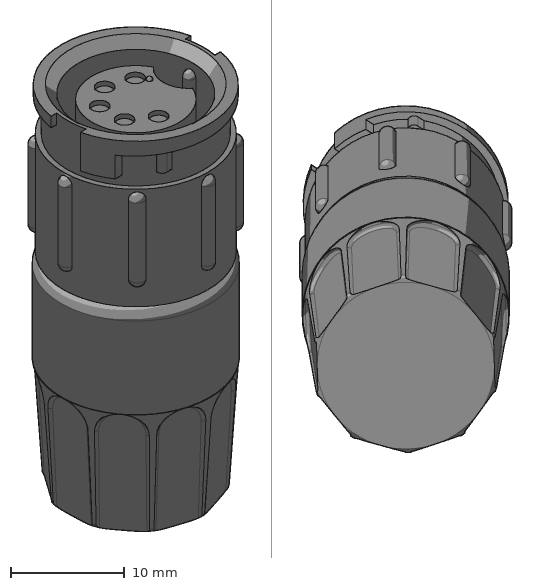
import cadquery as cq
import math

LENGTH = 42.04

BODY_BOTTOM = 13.14
BODY_TOP = 24.14
SLEEVE_BOTTOM = 24.42
SLEEVE_TOP = 36.85

TAIL_BOTTOM_RADIUS = 8.25
TAIL_TOP_RADIUS = 9.04
TAIL_EDGE_FILLET = 0.5
BODY_RADIUS = 9.1
BODY_FILLET = 1.05
GROOVE_RADIUS = 7.8
SLEEVE_RADIUS = 8.83
NECK_RADIUS = 8.3
FLANGE_RADIUS = 9.0

FLAT_COUNT = 10
FLAT_HALF_WIDTH = 2.45
FLAT_BOTTOM_APOTHEM = 7.77
FLAT_TILT = 2.9
FLAT_ARCH_CENTRE = 10.7
FLAT_FILLET = 0.35

RIB_COUNT = 8
RIB_RADIUS = 0.78
RIB_OUTER_RADIUS = 9.46
RIB_LOW = 27.35
RIB_HIGH = 35.8

FLANGE_MEAN_HEIGHT = 1.42
FLANGE_SLOPE = 1.4
CHANNEL_HALF_WIDTH = 1.8
LUG_OUTER_X = 4.85
LUG_HEIGHT = 4.1

DETENT_X = 7.62
DETENT_Y = 4.53
DETENT_FILLET = 0.6
DETENT_HEIGHT = 3.85

BORE_RADIUS = 6.93
BORE_CHAMFER = 1.0
BORE_DEPTH = 8.0
INSERT_RADIUS = 5.28
INSERT_RECESS = 1.6
INSERT_NOTCH_RADIUS = 3.07
INSERT_NOTCH_Y = 6.65
PIN_HOLE_RADIUS = 0.9
PIN_HOLE_DEPTH = 0.5
PIN_CIRCLE_RADIUS = 3.34
PIN_PITCH = 54
PIN_FIRST_ANGLE = 135
PIN_COUNT = 5
PIN_MARK_RADIUS = 0.3
PIN_MARK_X = -1.28
PIN_MARK_Y = 3.05
KEY_RADIUS = 0.65
KEY_Y = 6.85
KEY_TOP_DEPTH = 2.44


def cylinder(radius, low, high, x=0, y=0):
    return cq.Workplane("XY", origin=(x, y, low)).circle(radius).extrude(high - low)


def box(x_range, y_range, z_range):
    sizes = [high - low for low, high in (x_range, y_range, z_range)]
    return cq.Workplane("XY").box(*sizes, centered=False).translate((x_range[0], y_range[0], z_range[0]))


def half_turn(shape):
    return shape.rotate((0, 0, 0), (0, 0, 1), 180)


def tail():
    taper = (
        cq.Workplane("XY")
        .circle(TAIL_BOTTOM_RADIUS)
        .workplane(offset=BODY_BOTTOM)
        .circle(TAIL_TOP_RADIUS)
        .loft()
        .faces("<Z")
        .edges()
        .fillet(TAIL_EDGE_FILLET)
    )
    cutter = thumb_flat_cutter()
    for i in range(FLAT_COUNT):
        taper = taper.cut(cutter.rotate((0, 0, 0), (0, 0, 1), i * 360 / FLAT_COUNT))
    return taper


def thumb_flat_cutter():
    """Arch-topped pocket on the -Y side, its floor leaning outwards towards the top."""
    below_base = -2.0
    thickness = 3.0
    tilt = math.radians(FLAT_TILT)
    floor = cq.Plane(
        origin=(0, -FLAT_BOTTOM_APOTHEM, 0),
        xDir=(1, 0, 0),
        normal=(0, -math.cos(tilt), -math.sin(tilt)),
    )
    return (
        cq.Workplane(floor)
        .moveTo(-FLAT_HALF_WIDTH, below_base)
        .lineTo(FLAT_HALF_WIDTH, below_base)
        .lineTo(FLAT_HALF_WIDTH, FLAT_ARCH_CENTRE)
        .threePointArc((0, FLAT_ARCH_CENTRE + FLAT_HALF_WIDTH), (-FLAT_HALF_WIDTH, FLAT_ARCH_CENTRE))
        .close()
        .extrude(thickness)
        .faces(">Y")
        .edges()
        .fillet(FLAT_FILLET)
    )


def barrel():
    body = cylinder(BODY_RADIUS, BODY_BOTTOM, BODY_TOP).faces(">Z").edges().fillet(BODY_FILLET)
    groove = cylinder(GROOVE_RADIUS, BODY_BOTTOM, SLEEVE_BOTTOM)
    sleeve = cylinder(SLEEVE_RADIUS, SLEEVE_BOTTOM, SLEEVE_TOP)
    neck = cylinder(NECK_RADIUS, SLEEVE_BOTTOM, LENGTH)
    return body.union(groove).union(sleeve).union(neck)


def ribs():
    centre = RIB_OUTER_RADIUS - RIB_RADIUS
    rib = cylinder(RIB_RADIUS, RIB_LOW, RIB_HIGH, centre)
    for z in (RIB_LOW, RIB_HIGH):
        rib = rib.union(cq.Workplane("XY", origin=(centre, 0, z)).sphere(RIB_RADIUS))
    ring = rib
    for i in range(1, RIB_COUNT):
        ring = ring.union(rib.rotate((0, 0, 0), (0, 0, 1), i * 360 / RIB_COUNT))
    return ring


def bayonet_half():
    """Flange ramp, lug and detent on the -X side."""
    reach = FLANGE_RADIUS + 1
    rise = reach * math.tan(math.radians(FLANGE_SLOPE))
    mean = LENGTH - FLANGE_MEAN_HEIGHT
    ramp = (
        cq.Workplane("YZ")
        .polyline([(-reach, mean + rise), (reach, mean - rise), (reach, LENGTH), (-reach, LENGTH)])
        .close()
        .extrude(-reach)
    )
    channel = box((-CHANNEL_HALF_WIDTH, 0), (-reach, reach), (SLEEVE_TOP, LENGTH))
    lug = box((-LUG_OUTER_X, -CHANNEL_HALF_WIDTH), (0, reach), (LENGTH - LUG_HEIGHT, LENGTH))
    ring = cylinder(FLANGE_RADIUS, SLEEVE_TOP, LENGTH)
    detent = (
        box((-DETENT_X, 0), (0, DETENT_Y), (LENGTH - DETENT_HEIGHT, LENGTH - FLANGE_MEAN_HEIGHT))
        .edges("|Z and <X and >Y")
        .fillet(DETENT_FILLET)
    )
    return ramp.cut(channel).union(lug).intersect(ring).union(detent)


def socket_bore():
    bore = cylinder(BORE_RADIUS, LENGTH - BORE_DEPTH, LENGTH)
    chamfer = (
        cq.Workplane("XY", origin=(0, 0, LENGTH - BORE_CHAMFER))
        .circle(BORE_RADIUS)
        .workplane(offset=BORE_CHAMFER)
        .circle(BORE_RADIUS + BORE_CHAMFER)
        .loft()
    )
    return bore.union(chamfer)


def insert():
    floor = LENGTH - BORE_DEPTH
    face = LENGTH - INSERT_RECESS
    core = cylinder(INSERT_RADIUS, floor, face)
    core = core.cut(cylinder(INSERT_NOTCH_RADIUS, floor, face, 0, INSERT_NOTCH_Y))
    for i in range(PIN_COUNT):
        angle = math.radians(PIN_FIRST_ANGLE + i * PIN_PITCH)
        x = PIN_CIRCLE_RADIUS * math.cos(angle)
        y = PIN_CIRCLE_RADIUS * math.sin(angle)
        core = core.cut(cylinder(PIN_HOLE_RADIUS, face - PIN_HOLE_DEPTH, face, x, y))
    mark = cq.Workplane("XY", origin=(PIN_MARK_X, PIN_MARK_Y, face)).sphere(PIN_MARK_RADIUS)
    return core.union(mark)


def polarising_key():
    top = LENGTH - KEY_TOP_DEPTH
    post = cylinder(KEY_RADIUS, LENGTH - BORE_DEPTH, top, 0, KEY_Y)
    return post.union(cq.Workplane("XY", origin=(0, KEY_Y, top)).sphere(KEY_RADIUS))


half = bayonet_half()
shell = tail().union(barrel()).union(ribs()).union(half).union(half_turn(half))
result = shell.cut(socket_bore()).union(insert()).union(polarising_key())